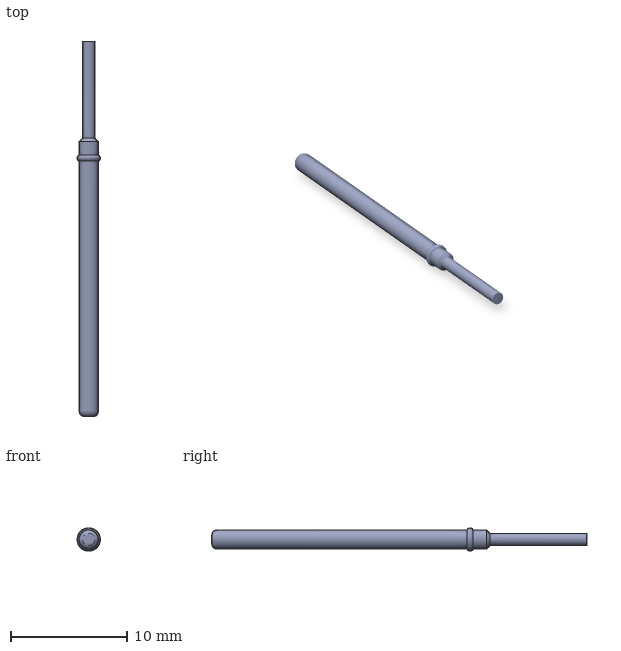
import cadquery as cq
import math

total_length = 32.3
body_diameter = 1.65
tail_diameter = 1.05
tail_length = 8.33
nose_radius = 0.45
shoulder_taper_length = 0.3
ring_diameter = 2.0
ring_width = 0.52
ring_center = 22.25

body_radius = body_diameter / 2
tail_radius = tail_diameter / 2
ring_radius = ring_diameter / 2
shoulder_y = total_length - tail_length
ring_start = ring_center - ring_width / 2
ring_end = ring_center + ring_width / 2

nose_mid_x = body_radius - nose_radius * (1 - math.sqrt(0.5))
nose_mid_y = nose_radius * (1 - math.sqrt(0.5))

profile = (
    cq.Workplane("XY")
    .lineTo(body_radius - nose_radius, 0)
    .threePointArc((nose_mid_x, nose_mid_y), (body_radius, nose_radius))
    .lineTo(body_radius, ring_start)
    .threePointArc((ring_radius, ring_center), (body_radius, ring_end))
    .lineTo(body_radius, shoulder_y - shoulder_taper_length)
    .lineTo(tail_radius, shoulder_y)
    .lineTo(tail_radius, total_length)
    .lineTo(0, total_length)
    .close()
)

result = profile.revolve(360, (0, 0, 0), (0, 1, 0))